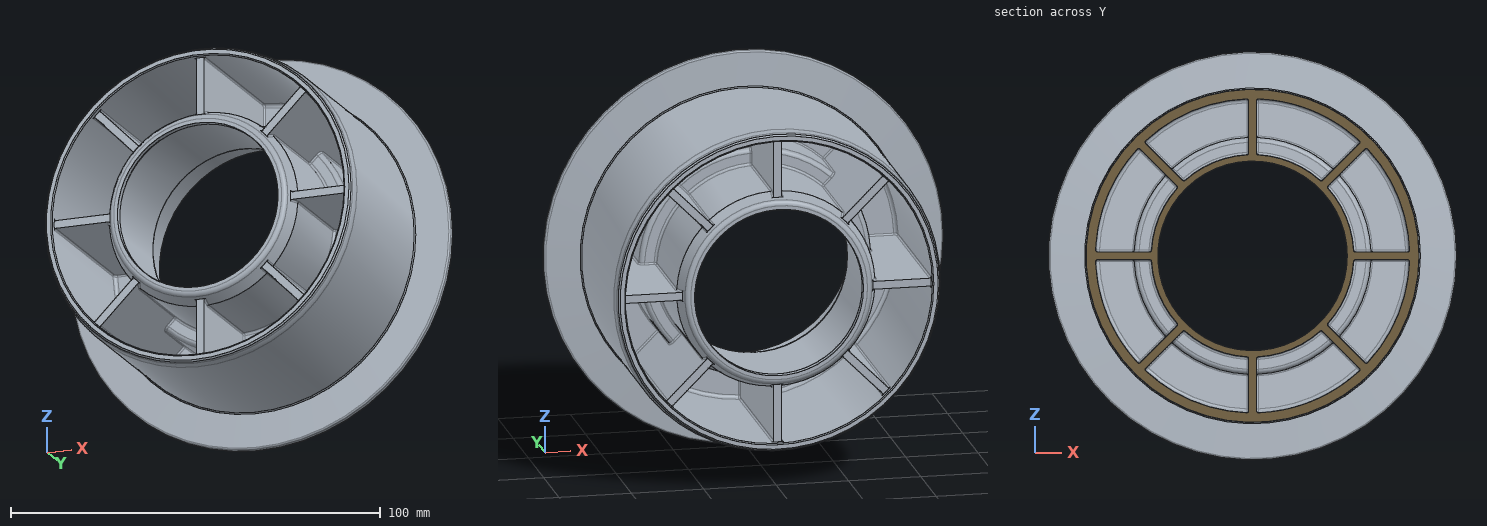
import cadquery as cq
import math

total_depth = 48.5
front = -total_depth

flange_radius = 55.2
flange_edge_depth = 2.2
flange_foot_depth = 2.8
flange_back_round = 0.5
flange_front_round = 0.4
foot_chamfer = 0.3

wall_radius = 45.1
wall_inner_radius = 42.4
rim_curve_length = 3.1
rim_curve_radius = 44.6
rim_slope_length = 1.1
rim_outer_chamfer = 0.4
rim_flat_outer_radius = 44.0
rim_inner_chamfer = 0.3

plate_thickness = 2.3

hub_radius = 27.4
hub_bore_radius = 25.58
lip_bore_radius = 23.3
lip_bore_length = 1.8
lip_inner_cone_end = 5.7
lip_outer_cone_end = 4.4
lip_nose_length = 0.9
lip_nose_radius = 25.9
lip_flat_radius = 24.4

socket_radius = 30.2
socket_wall = 1.9
socket_outer_radius = socket_radius + socket_wall
socket_depth = 15.6
socket_front = -socket_depth - socket_wall
socket_front_round = 1.3
bore_lead_in_width = 0.4
bore_lead_in_length = 0.9

rib_count = 8
rib_width = 2.2
rib_front = front + 1.9

root_fillet = 0.4
wall_base_fillet = 1.0
hub_base_fillet = 0.7


def make_shell():
    """Turn the flange, wall, plate, socket and hub as one closed outline of (radius, Y) points."""
    return (
        cq.Workplane("XY")
        .moveTo(socket_radius, 0)
        .lineTo(flange_radius - flange_back_round, 0)
        .tangentArcPoint((flange_back_round, -flange_back_round))
        .lineTo(flange_radius, -flange_edge_depth + flange_front_round)
        .tangentArcPoint((-flange_front_round, -flange_front_round))
        .lineTo(wall_radius + foot_chamfer, -flange_foot_depth)
        .lineTo(wall_radius, -flange_foot_depth - foot_chamfer)
        .lineTo(wall_radius, front + rim_curve_length)
        .tangentArcPoint((rim_curve_radius, front + rim_slope_length), relative=False)
        .lineTo(rim_flat_outer_radius + rim_outer_chamfer, front + rim_outer_chamfer)
        .lineTo(rim_flat_outer_radius, front)
        .lineTo(wall_inner_radius + rim_inner_chamfer, front)
        .lineTo(wall_inner_radius, front + rim_inner_chamfer)
        .lineTo(wall_inner_radius, -plate_thickness - wall_base_fillet)
        .tangentArcPoint((-wall_base_fillet, wall_base_fillet))
        .lineTo(socket_outer_radius + root_fillet, -plate_thickness)
        .tangentArcPoint((-root_fillet, -root_fillet))
        .lineTo(socket_outer_radius, socket_front + socket_front_round)
        .tangentArcPoint((-socket_front_round, -socket_front_round))
        .lineTo(hub_radius + hub_base_fillet, socket_front)
        .tangentArcPoint((-hub_base_fillet, -hub_base_fillet))
        .lineTo(hub_radius, front + lip_outer_cone_end)
        .lineTo(lip_nose_radius, front + lip_nose_length)
        .tangentArcPoint((lip_flat_radius, front), relative=False)
        .lineTo(lip_bore_radius, front)
        .lineTo(lip_bore_radius, front + lip_bore_length)
        .lineTo(hub_bore_radius, front + lip_inner_cone_end)
        .lineTo(hub_bore_radius, -socket_depth - bore_lead_in_length)
        .lineTo(hub_bore_radius + bore_lead_in_width, -socket_depth)
        .lineTo(socket_radius, -socket_depth)
        .close()
        .revolve(360, (0, 0, 0), (0, 1, 0))
    )


def make_rib():
    """One rib along +X, its ends buried in the hub, the socket, the plate and the outer wall."""
    hub_middle = (hub_radius + hub_bore_radius) / 2
    socket_middle = socket_radius + socket_wall / 2
    wall_middle = (wall_radius + wall_inner_radius) / 2
    plate_middle = -plate_thickness / 2
    step_middle = socket_front + socket_wall / 2
    lip_middle = (lip_flat_radius + lip_nose_radius) / 2
    return (
        cq.Workplane("XY")
        .moveTo(wall_middle, plate_middle)
        .lineTo(wall_middle, rib_front)
        .lineTo(lip_middle, rib_front)
        .lineTo(hub_middle, front + lip_inner_cone_end)
        .lineTo(hub_middle, step_middle)
        .lineTo(socket_middle, step_middle)
        .lineTo(socket_middle, plate_middle)
        .close()
        .extrude(rib_width / 2, both=True)
    )


def is_rib_root(edge):
    """True for the edges where a rib's sides meet the wall, the plate, the socket and the hub."""
    if edge.geomType() == "CIRCLE":
        return False
    middle = edge.positionAt(0.5)
    radius = math.hypot(middle.x, middle.z)
    beside_bore = radius < lip_nose_radius
    outside_pockets = radius > (wall_radius + wall_inner_radius) / 2
    in_socket = radius < socket_radius + socket_wall / 2 and middle.y > socket_front + socket_wall / 2
    on_rib_front = middle.y < rib_front + root_fillet
    return not (beside_bore or outside_pockets or in_socket or on_rib_front)


result = make_shell()
rib = make_rib()
for index in range(rib_count):
    result = result.union(rib.rotate((0, 0, 0), (0, 1, 0), index * 360 / rib_count))
rib_roots = [edge for edge in result.edges().vals() if is_rib_root(edge)]
result = result.newObject(rib_roots).fillet(root_fillet)